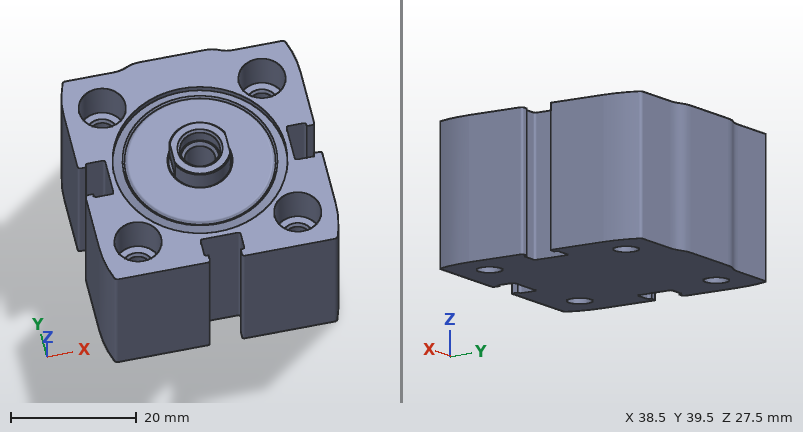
import cadquery as cq
import math

body_width = 38.5
overall_depth = 39.5
body_height = 24.0
half_side = body_width / 2
corner_arc_start = 12.8
corner_arc_radius = 17.55
corner_fillet = 0.6

pad_reach = overall_depth - half_side
pad_half_top = 5.37
pad_half_foot = 9.7

slot_mouth = 5.2
slot_cavity = 6.5
slot_depth = 4.5
slot_lip = 1.3
slot_fillet = 0.4
slot_angles = [-90, 0, 90]

mount_offset = 13.0
mount_hole_diameter = 4.15
mount_sink_diameter = 5.0
mount_bore_diameter = 7.5
mount_bore_depth = 7.0

moat_radius = 27.8 / 2
moat_depth = 1.03
crest_radius = 12.32
crest_depth = 0.15
groove_rounding = 0.3
groove_radius = crest_radius - groove_rounding
groove_depth = crest_depth + groove_rounding
plate_radius = 11.38
plate_depth = 0.1
plate_rounding = 0.45
plate_rounding_angle = math.radians(45)

rod_diameter = 10.0
rod_protrusion = 3.48
rod_length = 20.0
rod_chamfer = 0.15
rod_hole_chamfer = 0.2
flat_width = 9.0
flat_ramp_angle = math.radians(30)

guide_diameter = 6.4
guide_depth = 2.6
guide_chamfer = 0.4
thread_sink_diameter = 6.0
core_diameter = 4.9
core_depth = 10.0
drill_half_angle = math.radians(59)

rod_top = body_height + rod_protrusion
rod_bottom = rod_top - rod_length
plate_level = body_height - plate_depth


def revolved(profile):
    """Turn a closed (radius, Z) profile drawn in the XZ plane around the Z axis."""
    return profile.close().revolve(360, (0, 0, 0), (0, 1, 0))


def make_block():
    arc_rise = half_side - corner_arc_start
    corner_x = half_side - corner_arc_radius + math.sqrt(corner_arc_radius**2 - arc_rise**2)
    half_rise = arc_rise / 2
    arc_mid_x = half_side - corner_arc_radius + math.sqrt(corner_arc_radius**2 - half_rise**2)
    arc_mid_y = corner_arc_start + half_rise
    pad_mid_x = (pad_half_top + pad_half_foot) / 2
    pad_mid_y = (half_side + pad_reach) / 2

    block = (
        cq.Workplane("XY")
        .moveTo(0, -half_side)
        .lineTo(corner_x, -half_side)
        .threePointArc((arc_mid_x, -arc_mid_y), (half_side, -corner_arc_start))
        .lineTo(half_side, corner_arc_start)
        .threePointArc((arc_mid_x, arc_mid_y), (corner_x, half_side))
        .lineTo(pad_half_foot, half_side)
        .tangentArcPoint((pad_mid_x, pad_mid_y), relative=False)
        .tangentArcPoint((pad_half_top, pad_reach), relative=False)
        .lineTo(0, pad_reach)
        .mirrorY()
        .extrude(body_height)
    )
    for x in (-corner_x, corner_x):
        for y in (-half_side, half_side):
            block = fillet_upright_edge(block, x, y, corner_fillet)
    return block


def fillet_upright_edge(solid, x, y, radius):
    """Round the vertical edge that stands at (x, y)."""
    reach = 0.05
    around_edge = cq.selectors.BoxSelector(
        (x - reach, y - reach, 0), (x + reach, y + reach, body_height)
    )
    return solid.edges("|Z").edges(around_edge).fillet(radius)


def cut_slot(block, angle):
    """Cut one T-slot; angle 0 is the -Y face, positive angles turn toward +X."""
    cavity_depth = slot_depth - slot_lip
    cavity = (
        cq.Workplane("XY")
        .center(0, -half_side + slot_lip + cavity_depth / 2)
        .rect(slot_cavity, cavity_depth)
        .extrude(body_height)
        .edges("|Z")
        .fillet(slot_fillet)
    )
    mouth = (
        cq.Workplane("XY")
        .center(0, -half_side)
        .rect(slot_mouth, slot_depth)
        .extrude(body_height)
    )
    block = block.cut(cavity.union(mouth).rotate((0, 0, 0), (0, 0, 1), angle))

    turn = math.radians(angle)
    for x in (-slot_mouth / 2, slot_mouth / 2):
        lip_x = x * math.cos(turn) + half_side * math.sin(turn)
        lip_y = x * math.sin(turn) - half_side * math.cos(turn)
        block = fillet_upright_edge(block, lip_x, lip_y, slot_fillet)
    return block


def make_mount_hole_cutter():
    hole_radius = mount_hole_diameter / 2
    sink_radius = mount_sink_diameter / 2
    bore_floor = body_height - mount_bore_depth
    return revolved(
        cq.Workplane("XZ")
        .lineTo(hole_radius, 0)
        .lineTo(hole_radius, bore_floor - (sink_radius - hole_radius))
        .lineTo(sink_radius, bore_floor)
        .lineTo(mount_bore_diameter / 2, bore_floor)
        .lineTo(mount_bore_diameter / 2, body_height)
        .lineTo(0, body_height)
    )


def make_front_recess_cutter():
    groove_level = body_height - groove_depth
    crest_level = body_height - crest_depth
    round_mid_angle = plate_rounding_angle / 2
    round_end = (
        plate_radius + plate_rounding * math.sin(plate_rounding_angle),
        plate_level - plate_rounding * (1 - math.cos(plate_rounding_angle)),
    )
    round_mid = (
        plate_radius + plate_rounding * math.sin(round_mid_angle),
        plate_level - plate_rounding * (1 - math.cos(round_mid_angle)),
    )
    groove_mid_angle = math.radians(45)
    groove_mid = (
        crest_radius - groove_rounding * math.sin(groove_mid_angle),
        groove_level + groove_rounding * math.cos(groove_mid_angle),
    )
    return revolved(
        cq.Workplane("XZ")
        .moveTo(0, plate_level)
        .lineTo(plate_radius, plate_level)
        .threePointArc(round_mid, round_end)
        .lineTo(groove_radius, groove_level)
        .threePointArc(groove_mid, (crest_radius, crest_level))
        .lineTo(moat_radius, body_height - moat_depth)
        .lineTo(moat_radius, body_height)
        .lineTo(0, body_height)
    )


def make_rod_hole_cutter():
    rod_radius = rod_diameter / 2
    return revolved(
        cq.Workplane("XZ")
        .moveTo(0, rod_bottom)
        .lineTo(rod_radius, rod_bottom)
        .lineTo(rod_radius, plate_level - rod_hole_chamfer)
        .lineTo(rod_radius + rod_hole_chamfer, plate_level)
        .lineTo(0, plate_level)
    )


def make_housing():
    housing = make_block()
    for angle in slot_angles:
        housing = cut_slot(housing, angle)
    mount_hole = make_mount_hole_cutter()
    for x in (-mount_offset, mount_offset):
        for y in (-mount_offset, mount_offset):
            housing = housing.cut(mount_hole.translate((x, y, 0)))
    return housing.cut(make_front_recess_cutter()).cut(make_rod_hole_cutter())


def make_rod_end_hole_cutter():
    guide_radius = guide_diameter / 2
    sink_radius = thread_sink_diameter / 2
    core_radius = core_diameter / 2
    guide_floor = rod_top - guide_depth
    core_floor = rod_top - core_depth
    return revolved(
        cq.Workplane("XZ")
        .moveTo(0, core_floor - core_radius / math.tan(drill_half_angle))
        .lineTo(core_radius, core_floor)
        .lineTo(core_radius, guide_floor - (sink_radius - core_radius))
        .lineTo(sink_radius, guide_floor)
        .lineTo(guide_radius, guide_floor)
        .lineTo(guide_radius, rod_top - guide_chamfer)
        .lineTo(guide_radius + guide_chamfer, rod_top)
        .lineTo(0, rod_top)
    )


def make_flat_cutter():
    """Remove the +X side of the rod end; the flat runs out in a ramp below the plate."""
    flat_x = flat_width / 2
    outer_x = rod_diameter / 2
    ramp_drop = (outer_x - flat_x) * math.tan(flat_ramp_angle)
    return (
        cq.Workplane("XZ")
        .moveTo(flat_x, rod_top)
        .lineTo(flat_x, plate_level)
        .lineTo(outer_x, plate_level - ramp_drop)
        .lineTo(outer_x, rod_top)
        .close()
        .extrude(outer_x, both=True)
    )


def make_rod():
    rod = (
        cq.Workplane("XY", origin=(0, 0, rod_bottom))
        .circle(rod_diameter / 2)
        .extrude(rod_length)
        .faces(">Z")
        .chamfer(rod_chamfer)
        .cut(make_rod_end_hole_cutter())
    )
    flat = make_flat_cutter()
    return rod.cut(flat).cut(flat.mirror("YZ"))


housing = make_housing()
rod = make_rod()

result = cq.Compound.makeCompound([housing.val(), rod.val()])